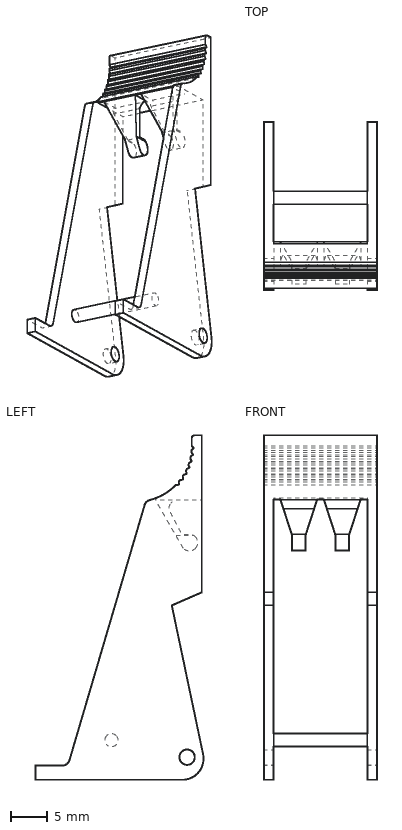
import cadquery as cq
import math

width = 15.6
depth = 23.2
height = 47.5
plate_thickness = 1.35
inner_width = width - 2 * plate_thickness

tail_height = 2.0
tail_corner_y = 18.7
back_fillet = 1.0
front_y = 0.25
front_bottom_z = 25.85
notch_y = 4.35
notch_z = 24.05
toe_radius = 2.95

scoop_radius = 7.65
lip_y = 1.65
scoop_y = lip_y + scoop_radius
scoop_z = 46.0
scoop_end_y = 8.0
lip_fillet = 0.48
groove_count = 7
groove_first_angle = 1.8
groove_pitch_angle = 6.7
groove_depth = 0.3
groove_half_width = 0.3
groove_overlap = 0.15

slab_bottom_z = 38.6
slab_back_y = 6.7
slab_back_top_y = 6.4

hole_diameter = 2.1
hole_y = 2.3
hole_z = 3.15
pin_diameter = 1.8
pin_y = 12.75
pin_z = 5.5

hook_offset = 3.0
hook_tip_width = 1.9
hook_root_width = 5.1
hook_taper_z = 33.72
tip_radius = 1.15
tip_y = 2.0
tip_z = 32.75
hook_face_y = 3.05
root_face_y = 4.85
root_fillet = 1.3


def tangent_point(point, center, radius, side):
    """Point where a line from point touches a circle; side is +1 or -1."""
    dy = point[0] - center[0]
    dz = point[1] - center[1]
    angle = math.atan2(dz, dy) + side * math.acos(radius / math.hypot(dy, dz))
    return (center[0] + radius * math.cos(angle), center[1] + radius * math.sin(angle))


def scoop_height(y):
    return scoop_z - math.sqrt(scoop_radius**2 - (y - scoop_y)**2)


def extrude_across(outline, length):
    """Extrude a closed YZ outline symmetrically about X = 0."""
    return outline.extrude(length).translate((-length / 2, 0, 0))


def rod(y, z, diameter, length):
    return extrude_across(cq.Workplane("YZ").center(y, z).circle(diameter / 2), length)


def side_body():
    """Full-width block with the side plate outline."""
    toe_top = tangent_point((notch_y, notch_z), (toe_radius, toe_radius), toe_radius, 1)
    toe_middle = toe_radius * (1 - math.sqrt(0.5))
    scoop_middle_y = scoop_y - scoop_radius * math.sqrt(0.5)
    outline = (
        cq.Workplane("YZ")
        .moveTo(toe_radius, 0)
        .lineTo(depth, 0)
        .lineTo(depth, tail_height)
        .lineTo(tail_corner_y, tail_height)
        .lineTo(scoop_end_y, scoop_height(scoop_end_y))
        .threePointArc((scoop_middle_y, scoop_height(scoop_middle_y)), (lip_y, scoop_z))
        .lineTo(lip_y, height)
        .lineTo(front_y, height)
        .lineTo(front_y, front_bottom_z)
        .lineTo(notch_y, notch_z)
        .lineTo(*toe_top)
        .threePointArc((toe_middle, toe_middle), (toe_radius, 0))
        .close()
    )
    body = extrude_across(outline, width)
    for y, z, radius in (
        (tail_corner_y, tail_height, back_fillet),
        (scoop_end_y, scoop_height(scoop_end_y), back_fillet),
        (lip_y, height, lip_fillet),
    ):
        body = body.edges(cq.selectors.NearestToPointSelector((0, y, z))).fillet(radius)
    return body


def inner_opening():
    """Space between the plates, below and behind the slab."""
    outline = cq.Workplane("YZ").polyline([
        (0, 0),
        (depth, 0),
        (depth, height),
        (slab_back_top_y, height),
        (slab_back_top_y, scoop_height(slab_back_top_y)),
        (slab_back_y, slab_bottom_z),
        (0, slab_bottom_z),
    ]).close()
    return extrude_across(outline, inner_width)


def grip_groove(angle):
    """V-shaped cutter pointing outward from the scoop axis."""
    half_width = groove_half_width * (groove_depth + groove_overlap) / groove_depth
    mouth = scoop_radius - groove_overlap
    outline = cq.Workplane("YZ").polyline([
        (-mouth, -half_width),
        (-mouth, half_width),
        (-scoop_radius - groove_depth, 0),
    ]).close()
    cutter = extrude_across(outline, width)
    return cutter.rotate((0, 0, 0), (1, 0, 0), angle).translate((0, scoop_y, scoop_z))


def hook(middle_x):
    """Rounded hook whose width grows towards the slab."""
    back_tangent = tangent_point((slab_back_y, slab_bottom_z), (tip_y, tip_z), tip_radius, -1)
    tip_top_z = tip_z + tip_radius
    fillet_y = root_face_y - root_fillet
    fillet_z = slab_bottom_z - root_fillet
    fillet_reach = root_fillet * math.sqrt(0.5)
    profile = (
        cq.Workplane("YZ")
        .moveTo(slab_back_y, slab_bottom_z)
        .lineTo(*back_tangent)
        .threePointArc((tip_y - tip_radius, tip_z), (tip_y, tip_top_z))
        .lineTo(hook_face_y, tip_top_z)
        .lineTo(root_face_y, fillet_z)
        .threePointArc((fillet_y + fillet_reach, fillet_z + fillet_reach), (fillet_y, slab_bottom_z))
        .close()
    )
    tip_half = hook_tip_width / 2
    root_half = hook_root_width / 2
    front_shape = cq.Workplane("XZ").polyline([
        (-tip_half, 0),
        (tip_half, 0),
        (tip_half, hook_taper_z),
        (root_half, slab_bottom_z),
        (-root_half, slab_bottom_z),
        (-tip_half, hook_taper_z),
    ]).close().extrude(-depth)
    solid = extrude_across(profile, hook_root_width).intersect(front_shape)
    return solid.translate((middle_x, 0, 0))


result = side_body().cut(inner_opening())
for index in range(groove_count):
    result = result.cut(grip_groove(groove_first_angle + index * groove_pitch_angle))
result = result.cut(rod(hole_y, hole_z, hole_diameter, width))
result = result.union(rod(pin_y, pin_z, pin_diameter, inner_width + plate_thickness))
for side in (-1, 1):
    result = result.union(hook(side * hook_offset))